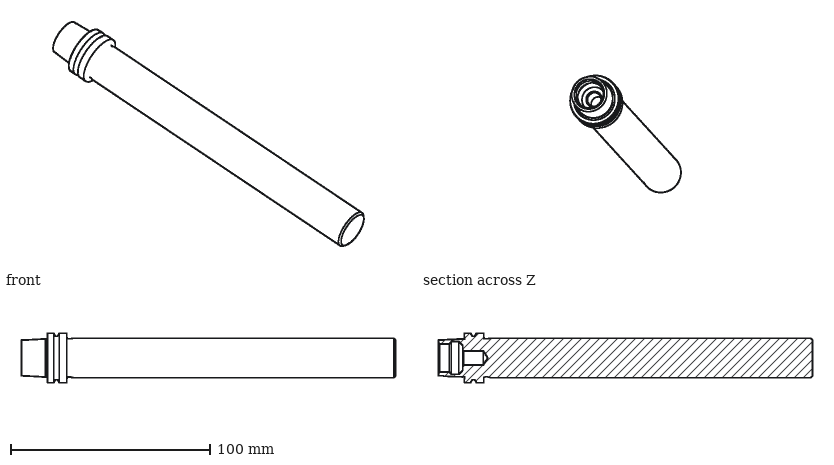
import cadquery as cq
import math


total_length = 188
bar_diameter = 20.0
bar_end_chamfer = 1.0

taper_length = 12.0
taper_tip_diameter = 18.0
taper_base_diameter = 19.4
relief_diameter = 19.0
relief_slope_length = 0.4

flange_front = 13.0
flange_back = 23.0
flange_diameter = 25.0
flange_chamfer = 0.2
recess_diameter = 21.0
recess_depth = 0.2

groove_centre = 17.7
groove_floor_diameter = 22.0
groove_mouth_width = 2.8
groove_included_angle = 60
groove_floor_fillet = 0.4

neck_diameter = 19.4
neck_end = 24.8
neck_cone_length = 1.1
neck_fillet = 0.5

mouth_diameter = 15.5
mouth_chamfer_length = 0.8
bore_diameter = 14.0
clamp_groove_diameter = 16.4
clamp_groove_start = 5.5
clamp_groove_end = 10.3
clamp_groove_slope_length = 1.1
bore_floor_diameter = 12.5
bore_depth = 12.2

hole_diameter = 7.0
hole_mouth_diameter = 8.0
hole_end = 22.5
drill_tip_length = 2.3


def revolve_about_x(profile):
    return profile.close().revolve(360, (0, 0), (1, 0))


def make_body():
    recess_floor = flange_front + recess_depth
    profile = (
        cq.Workplane("XY")
        .lineTo(0, taper_tip_diameter / 2)
        .lineTo(taper_length, taper_base_diameter / 2)
        .lineTo(taper_length + relief_slope_length, relief_diameter / 2)
        .lineTo(recess_floor, relief_diameter / 2)
        .lineTo(recess_floor, recess_diameter / 2)
        .lineTo(flange_front, recess_diameter / 2)
        .lineTo(flange_front, flange_diameter / 2 - flange_chamfer)
        .lineTo(flange_front + flange_chamfer, flange_diameter / 2)
        .lineTo(flange_back, flange_diameter / 2)
        .lineTo(flange_back, neck_diameter / 2 + neck_fillet)
        .radiusArc((flange_back + neck_fillet, neck_diameter / 2), -neck_fillet)
        .lineTo(neck_end, neck_diameter / 2)
        .lineTo(neck_end + neck_cone_length, bar_diameter / 2)
        .lineTo(total_length - bar_end_chamfer, bar_diameter / 2)
        .lineTo(total_length, bar_diameter / 2 - bar_end_chamfer)
        .lineTo(total_length, 0)
    )
    return revolve_about_x(profile)


def make_gripper_groove():
    depth = (flange_diameter - groove_floor_diameter) / 2
    half_mouth = groove_mouth_width / 2
    half_floor = half_mouth - depth * math.tan(math.radians(groove_included_angle / 2))
    profile = (
        cq.Workplane("XY")
        .moveTo(groove_centre - half_mouth, flange_diameter / 2)
        .lineTo(groove_centre - half_floor, groove_floor_diameter / 2)
        .lineTo(groove_centre + half_floor, groove_floor_diameter / 2)
        .lineTo(groove_centre + half_mouth, flange_diameter / 2)
    )
    ring = revolve_about_x(profile)
    floor_edges = cq.selectors.RadiusNthSelector(0)
    return ring.edges(floor_edges).fillet(groove_floor_fillet)


def make_bore():
    hole_chamfer = (hole_mouth_diameter - hole_diameter) / 2
    profile = (
        cq.Workplane("XY")
        .lineTo(0, mouth_diameter / 2)
        .lineTo(mouth_chamfer_length, bore_diameter / 2)
        .lineTo(clamp_groove_start, bore_diameter / 2)
        .lineTo(clamp_groove_start + clamp_groove_slope_length, clamp_groove_diameter / 2)
        .lineTo(clamp_groove_end, clamp_groove_diameter / 2)
        .lineTo(bore_depth, bore_floor_diameter / 2)
        .lineTo(bore_depth, hole_mouth_diameter / 2)
        .lineTo(bore_depth + hole_chamfer, hole_diameter / 2)
        .lineTo(hole_end, hole_diameter / 2)
        .lineTo(hole_end + drill_tip_length, 0)
    )
    return revolve_about_x(profile)


result = make_body().cut(make_gripper_groove()).cut(make_bore())